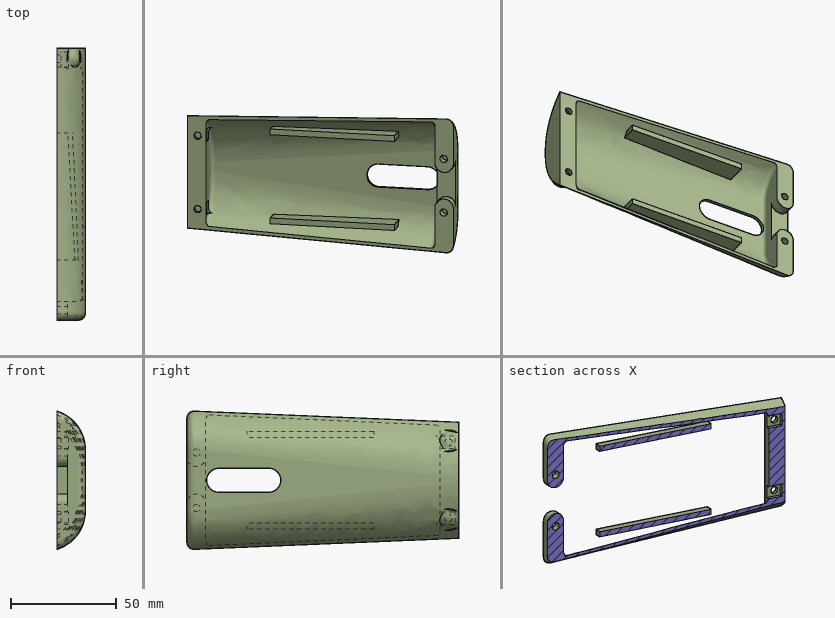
import cadquery as cq
import math

LENGTH = 128.5
DEPTH = 13.5
FRONT_HALF_HEIGHT = 32.83
BACK_HALF_HEIGHT = 27.45
FRONT_FLAT_HALF_HEIGHT = 14.75
BACK_FLAT_HALF_HEIGHT = 1.2
FRONT_EDGE_RADIUS = 3.5

WALL = 1.5
END_WALL = 9.0
CAVITY_EDGE_RADIUS = 1.9

RIB_START = 28.5
RIB_LENGTH = 60.0
RIB_THICKNESS = 2.8
RIB_CENTER_Z = 21.7

SLOT_START = 9.5
SLOT_LENGTH = 34.9
SLOT_WIDTH = 11.2

RECESS_DEPTH = 5.0
BOSS_CENTER_Z = 11.0
BOSS_RADIUS = END_WALL / 2

HOLE_DIAMETER = 3.5
FRONT_HOLE_Y = 4.7
FRONT_HOLE_Z = 13.1
FRONT_HOLE_DEPTH = RECESS_DEPTH
BACK_HOLE_Y = LENGTH - 4.9
BACK_HOLE_Z = 17.9

POCKET_START_X = 2.0
POCKET_END_X = 5.4
POCKET_WIDTH = 6.0
POCKET_END_Y = BACK_HOLE_Y + POCKET_WIDTH / 2

BUMP_CENTER_Z = 18.9
BUMP_TOP_RADIUS = 2.9
BUMP_ROOT_RADIUS = 6.2
BUMP_FLARE_HOLLOW = 0.3
BUMP_SHOULDER_HEIGHT = 1.0
BUMP_CAP_HEIGHT = 1.7
BUMP_ROOT_DEPTH = 0.5

PICK_MARGIN = 0.1


def between(front, back, y):
    """Value at y of a size that changes evenly from front to back."""
    return front + (back - front) * y / LENGTH


def dome_arc(y):
    """Flat half height, arc radius and arc centre x of the dome section at y."""
    half_height = between(FRONT_HALF_HEIGHT, BACK_HALF_HEIGHT, y)
    flat = between(FRONT_FLAT_HALF_HEIGHT, BACK_FLAT_HALF_HEIGHT, y)
    radius = (DEPTH**2 + (half_height - flat) ** 2) / (2 * DEPTH)
    return flat, radius, DEPTH - radius


def section_wire(y, inset):
    """Closed dome section at y: straight open side, two arcs and a flat between them."""
    flat, outer_radius, center_x = dome_arc(y)
    radius = outer_radius - inset
    end_angle = math.acos(-center_x / radius)
    end_z = flat + radius * math.sin(end_angle)
    middle_x = center_x + radius * math.cos(end_angle / 2)
    middle_z = flat + radius * math.sin(end_angle / 2)
    flat_x = DEPTH - inset
    upper_end = cq.Vector(0, y, end_z)
    lower_end = cq.Vector(0, y, -end_z)
    upper_flat = cq.Vector(flat_x, y, flat)
    lower_flat = cq.Vector(flat_x, y, -flat)
    edges = [
        cq.Edge.makeLine(lower_end, upper_end),
        cq.Edge.makeThreePointArc(upper_end, cq.Vector(middle_x, y, middle_z), upper_flat),
        cq.Edge.makeLine(upper_flat, lower_flat),
        cq.Edge.makeThreePointArc(lower_flat, cq.Vector(middle_x, y, -middle_z), lower_end),
    ]
    return cq.Wire.assembleEdges(edges)


def dome_loft(start_y, end_y, inset):
    """Solid dome between two sections, set in from the outer surface."""
    wires = [section_wire(start_y, inset), section_wire(end_y, inset)]
    return cq.Workplane(cq.Solid.makeLoft(wires, True))


def box(x_range, y_range, z_range):
    """Box given by its limits along each axis."""
    ranges = (x_range, y_range, z_range)
    sizes = [high - low for low, high in ranges]
    corner = cq.Vector(*[low for low, high in ranges])
    return cq.Workplane(cq.Solid.makeBox(*sizes, corner))


def cylinder_x(y, z, radius, depth):
    """Cylinder along X that starts at the open face."""
    return cq.Workplane(cq.Solid.makeCylinder(radius, depth, cq.Vector(0, y, z), cq.Vector(1, 0, 0)))


def section_edges(y):
    """Selector for the dome edges of the section at y, without its straight open side."""
    return cq.selectors.BoxSelector(
        (PICK_MARGIN, y - PICK_MARGIN, -LENGTH),
        (LENGTH, y + PICK_MARGIN, LENGTH),
    )


def outer_body():
    """Solid dome with its front edge rounded."""
    return dome_loft(0, LENGTH, 0).edges(section_edges(0)).fillet(FRONT_EDGE_RADIUS)


def cavity():
    """Inside of the shell, rounded where it meets the end walls."""
    start_y = END_WALL
    end_y = LENGTH - END_WALL
    loft = dome_loft(start_y, end_y, WALL)
    for y in (start_y, end_y):
        loft = loft.edges(section_edges(y)).fillet(CAVITY_EDGE_RADIUS)
    return loft


def rib(side):
    """Long rib from the open face to the dome."""
    half = RIB_THICKNESS / 2
    center_z = side * RIB_CENTER_Z
    blank = box((0, DEPTH), (RIB_START, RIB_START + RIB_LENGTH), (center_z - half, center_z + half))
    return blank.intersect(dome_loft(0, LENGTH, WALL / 2))


def slot():
    """Round-ended slot through the flat of the dome."""
    return (
        cq.Workplane("YZ", origin=(0, SLOT_START + SLOT_LENGTH / 2, 0))
        .slot2D(SLOT_LENGTH, SLOT_WIDTH)
        .extrude(DEPTH)
    )


def front_recess():
    """Recess in the front wall whose ends are the round noses of the bosses."""
    recess = box((0, RECESS_DEPTH), (0, END_WALL), (-BOSS_CENTER_Z, BOSS_CENTER_Z))
    for side in (1, -1):
        recess = recess.cut(cylinder_x(BOSS_RADIUS, side * BOSS_CENTER_Z, BOSS_RADIUS, RECESS_DEPTH))
    return recess


def nut_pocket(side):
    """Rectangular pocket that runs from the cavity to behind a back hole."""
    half = POCKET_WIDTH / 2
    center_z = side * BACK_HOLE_Z
    return box(
        (POCKET_START_X, POCKET_END_X),
        (LENGTH - END_WALL - CAVITY_EDGE_RADIUS, POCKET_END_Y),
        (center_z - half, center_z + half),
    )


def bump(side):
    """Bump square to the dome: a concave flare that rises to a rounded cap."""
    flat, radius, center_x = dome_arc(BACK_HOLE_Y)
    angle = math.asin((BUMP_CENTER_Z - flat) / radius)
    normal = cq.Vector(math.cos(angle), 0, side * math.sin(angle))
    origin = (center_x + radius * math.cos(angle), BACK_HOLE_Y, side * BUMP_CENTER_Z)
    cap_rise = BUMP_CAP_HEIGHT - BUMP_SHOULDER_HEIGHT
    cap_radius = (BUMP_TOP_RADIUS**2 + cap_rise**2) / (2 * cap_rise)
    along_y = cq.Vector(0, 1, 0)
    profile_plane = cq.Plane(origin=origin, xDir=along_y, normal=along_y.cross(normal))
    solid = (
        cq.Workplane(profile_plane)
        .moveTo(0, -BUMP_ROOT_DEPTH)
        .lineTo(BUMP_ROOT_RADIUS, -BUMP_ROOT_DEPTH)
        .sagittaArc((BUMP_TOP_RADIUS, BUMP_SHOULDER_HEIGHT), BUMP_FLARE_HOLLOW)
        .radiusArc((0, BUMP_CAP_HEIGHT), -cap_radius)
        .close()
        .revolve(360, (0, 0), (0, 1))
    )
    return solid.intersect(box((0, DEPTH), (0, LENGTH), (-LENGTH, LENGTH)))


result = outer_body()
for side in (1, -1):
    result = result.union(bump(side))
result = result.cut(cavity())
for side in (1, -1):
    result = result.union(rib(side))
result = result.cut(slot()).cut(front_recess())
for side in (1, -1):
    result = result.cut(nut_pocket(side))
    result = result.cut(cylinder_x(BACK_HOLE_Y, side * BACK_HOLE_Z, HOLE_DIAMETER / 2, POCKET_END_X))
    result = result.cut(cylinder_x(FRONT_HOLE_Y, side * FRONT_HOLE_Z, HOLE_DIAMETER / 2, FRONT_HOLE_DEPTH))